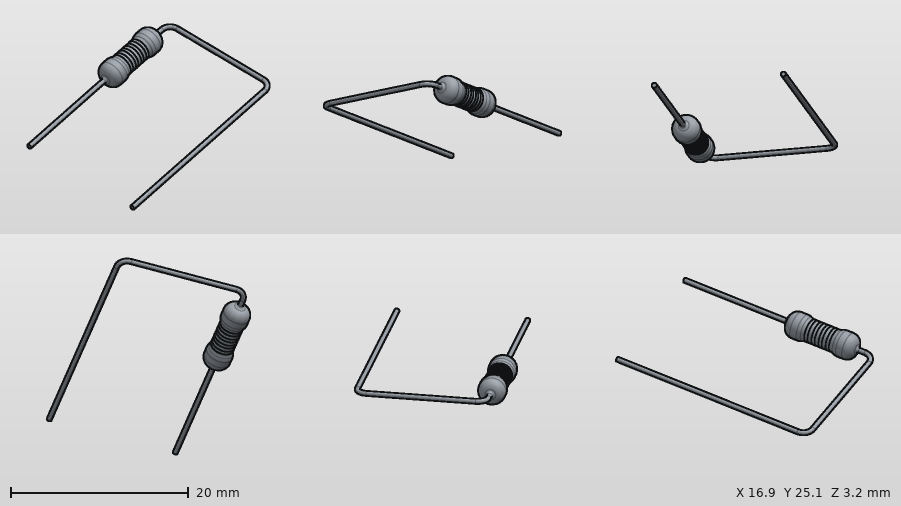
import cadquery as cq
import math


total_length = 25.1
lead_pitch = 15.0
lead_diameter = 0.6
bend_radius = 1.23
crossbar_y = 6.78

cap_diameter = 3.2
barrel_diameter = 2.7
band_diameter = 2.74
cap_cylinder_inner = 2.55
cap_cylinder_outer = 3.4
dome_radius = 1.1
neck_base_diameter = 1.25

band_count = 4
band_width = 0.43
band_pitch = 0.93

lead_radius = lead_diameter / 2
cap_radius = cap_diameter / 2
barrel_radius = barrel_diameter / 2
neck_base_radius = neck_base_diameter / 2
barrel_half_length = ((band_count - 1) * band_pitch + band_width) / 2
lead_tip_y = crossbar_y + lead_radius - total_length

dome_center_radius = cap_radius - dome_radius
dome_end_angle = math.acos((neck_base_radius - dome_center_radius) / dome_radius)
dome_end = cap_cylinder_outer + dome_radius * math.sin(dome_end_angle)
neck_flare_radius = neck_base_radius - lead_radius
neck_end = dome_end + neck_flare_radius

shoulder_mid_radius = (cap_radius + barrel_radius) / 2
shoulder_mid = (cap_cylinder_inner + barrel_half_length) / 2
shoulder_length = cap_cylinder_inner - barrel_half_length
shoulder_angle = 2 * math.atan((cap_radius - barrel_radius) / shoulder_length)
shoulder_radius = shoulder_length / (2 * math.sin(shoulder_angle))


def make_end_cap():
    """Revolve the cap on the +Y side, from the end of the barrel to the neck."""
    dome_mid = (
        dome_center_radius + dome_radius * math.cos(dome_end_angle / 2),
        cap_cylinder_outer + dome_radius * math.sin(dome_end_angle / 2),
    )
    neck_mid = (
        neck_base_radius - neck_flare_radius * math.sin(math.pi / 4),
        neck_end - neck_flare_radius * math.sin(math.pi / 4),
    )
    concave_mid = (
        barrel_radius + shoulder_radius * (1 - math.cos(shoulder_angle / 2)),
        barrel_half_length + shoulder_radius * math.sin(shoulder_angle / 2),
    )
    return (
        cq.Workplane("XY")
        .moveTo(0, barrel_half_length)
        .lineTo(barrel_radius, barrel_half_length)
        .threePointArc(concave_mid, (shoulder_mid_radius, shoulder_mid))
        .tangentArcPoint((cap_radius, cap_cylinder_inner), relative=False)
        .lineTo(cap_radius, cap_cylinder_outer)
        .threePointArc(dome_mid, (neck_base_radius, dome_end))
        .threePointArc(neck_mid, (lead_radius, neck_end))
        .lineTo(0, neck_end)
        .close()
        .revolve(360, (0, 0, 0), (0, 1, 0))
    )


def make_disc(diameter, width, center_y):
    """Cylinder along Y, centred at center_y."""
    workplane = cq.Workplane("XZ", origin=(0, center_y + width / 2, 0))
    return workplane.circle(diameter / 2).extrude(width)


def make_body():
    """Join the barrel, its two end caps and the raised bands."""
    cap = make_end_cap()
    barrel = make_disc(barrel_diameter, 2 * barrel_half_length, 0)
    body = barrel.union(cap).union(cap.mirror("XZ"))
    for index in range(band_count):
        center_y = (index - (band_count - 1) / 2) * band_pitch
        body = body.union(make_disc(band_diameter, band_width, center_y))
    return body


def make_short_lead():
    """Straight lead running from the body centre towards -Y."""
    return cq.Workplane("XZ").circle(lead_radius).extrude(-lead_tip_y)


def make_bent_lead():
    """Lead that leaves the body in +Y, crosses over in +X and returns in -Y."""
    path = (
        cq.Workplane("XY")
        .lineTo(0, crossbar_y - bend_radius)
        .tangentArcPoint((bend_radius, crossbar_y), relative=False)
        .lineTo(lead_pitch - bend_radius, crossbar_y)
        .tangentArcPoint((lead_pitch, crossbar_y - bend_radius), relative=False)
        .lineTo(lead_pitch, lead_tip_y)
    )
    return cq.Workplane("XZ").circle(lead_radius).sweep(path)


result = make_body().union(make_short_lead()).union(make_bent_lead())